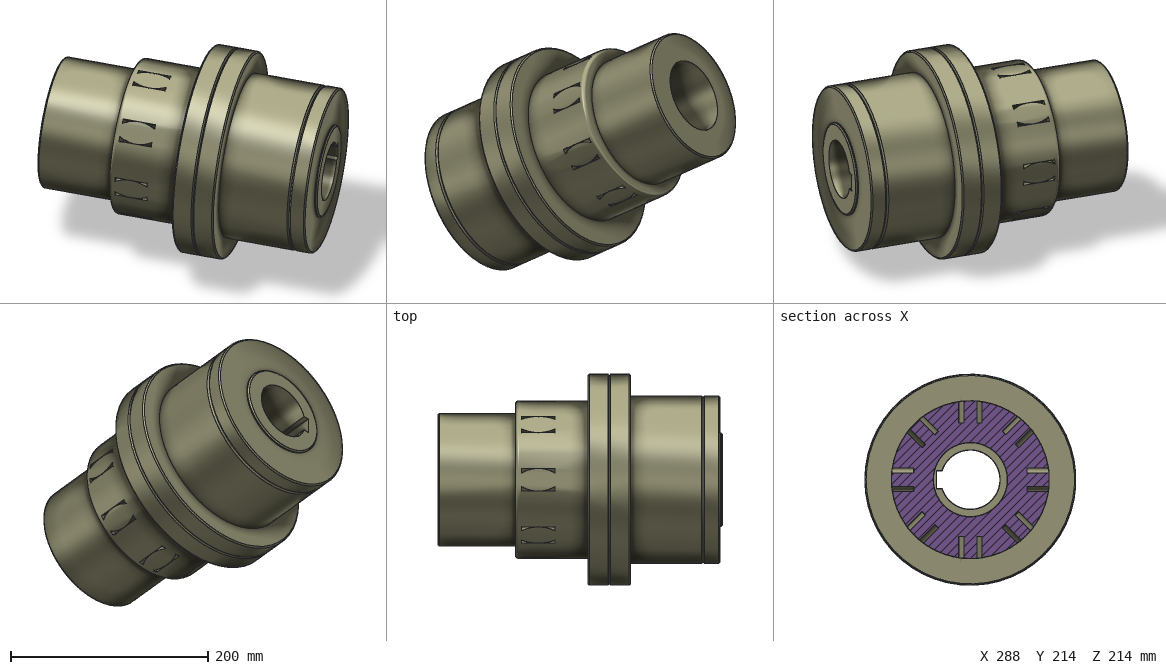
import cadquery as cq


collar_start = 78.3
jaw_start = 84.7
jaw_length = 33.7
flange_start = 151.8
flange_thickness = 21.5
end_groove_x = 268.5
body_end = 285.5
total_length = 288.0

flange_joint = flange_start + flange_thickness
flange_end = flange_joint + flange_thickness
jaw_middle = jaw_start + jaw_length / 2
jaw_end = jaw_start + jaw_length

flange_diameter = 214.0
hub_radius = 67.5
sleeve_radius = 80.0
flange_radius = flange_diameter / 2
body_radius = 85.0
end_ring_radius = 47.5

edge_chamfer = 1.5
collar_fillet = 3.7
end_groove_half_width = 1.7
end_groove_depth = 1.7

hub_bore_radius = 37.5
shaft_bore_radius = 30.0
keyway_width = 18.0
keyway_reach = 34.3

tooth_count = 8
tooth_width = 23.0
tooth_end_width = 13.8
gap_floor_radius = 57.5
cut_margin = 3.0


def disc(start, end, radius):
    """Solid cylinder on the X axis between two stations."""
    return cq.Workplane("YZ", origin=(start, 0, 0)).circle(radius).extrude(end - start)


def chamfered_disc(start, end, radius, edges):
    return disc(start, end, radius).edges(edges).chamfer(edge_chamfer)


def v_groove(x, radius, half_width, depth):
    """Ring cutter with a V section, open at the given outer radius."""
    profile = [
        (x - half_width, radius),
        (x, radius - depth),
        (x + half_width, radius),
    ]
    return cq.Workplane("XY").polyline(profile).close().revolve(360, (0, 0, 0), (1, 0, 0))


def outer_body():
    hub = chamfered_disc(0, collar_start, hub_radius, "<X")
    sleeve = disc(collar_start, flange_start, sleeve_radius).edges("<X").fillet(collar_fillet)
    left_flange = chamfered_disc(flange_start, flange_joint, flange_radius, "<X or >X")
    right_flange = chamfered_disc(flange_joint, flange_end, flange_radius, "<X or >X")
    rear = chamfered_disc(flange_end, body_end, body_radius, ">X")
    end_ring = chamfered_disc(body_end, total_length, end_ring_radius, ">X")
    body = hub.union(sleeve).union(left_flange).union(right_flange).union(rear).union(end_ring)
    return body.cut(v_groove(end_groove_x, body_radius, end_groove_half_width, end_groove_depth))


def tooth_clearance():
    """Slivers left in one jaw gap on either side of its barrel-shaped tooth."""
    half_gap = tooth_width / 2
    half_end = tooth_end_width / 2
    depth = sleeve_radius - gap_floor_radius + cut_margin
    floor = cq.Workplane("XY", origin=(0, 0, gap_floor_radius))
    gap = floor.center(jaw_middle, 0).rect(jaw_length, tooth_width).extrude(depth)
    tooth = (
        floor.moveTo(jaw_start, half_end)
        .threePointArc((jaw_middle, half_gap), (jaw_end, half_end))
        .lineTo(jaw_end, -half_end)
        .threePointArc((jaw_middle, -half_gap), (jaw_start, -half_end))
        .close()
        .extrude(depth)
    )
    return gap.cut(tooth)


def bores():
    hub_bore = disc(0, jaw_end, hub_bore_radius)
    shaft_bore = disc(0, total_length, shaft_bore_radius)
    keyway = cq.Workplane("XY").box(
        total_length, keyway_reach, keyway_width, centered=(False, False, True)
    )
    return hub_bore.union(shaft_bore).union(keyway)


result = outer_body()
clearance = tooth_clearance()
for index in range(tooth_count):
    angle = index * 360 / tooth_count
    result = result.cut(clearance.rotate((0, 0, 0), (1, 0, 0), angle))
result = result.cut(bores())